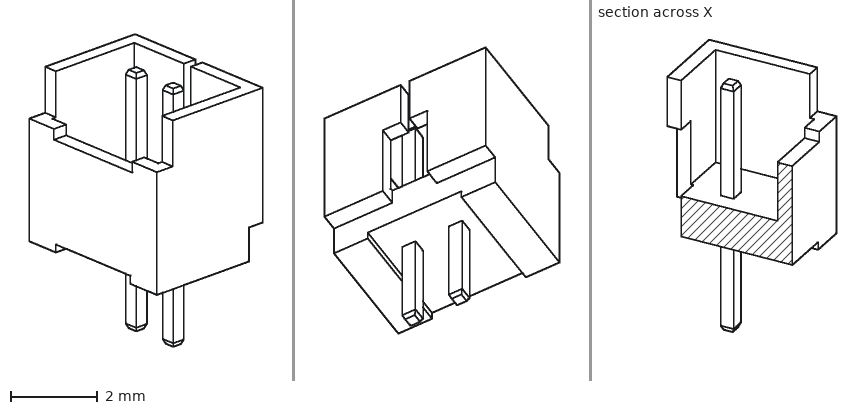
import cadquery as cq

WIDTH = 4.32
DEPTH = 3.33
HEIGHT = 4.22
SIDE_WALL = 0.365
FRONT_WALL = 0.385
BACK_WALL = 0.365
FLOOR_TOP = 1.27

SHOULDER_DROP = 1.15
SHOULDER_DEPTH = 0.50
FRONT_NOTCH_WIDTH = 2.64
FRONT_NOTCH_DROP = 1.42

SLOT_WIDTH = 0.235
SLOT_DROP = 1.29
WINDOW_WIDTH = 1.19

BACK_STEP_HEIGHT = 0.85
BACK_STEP_DEPTH = 0.43
CHANNEL_WIDTH = 2.51
CHANNEL_HEIGHT = 0.20

PIN_COUNT = 2
PIN_PITCH = 1.25
PIN_Y = 1.94
PIN_WIDTH = 0.36
PIN_THICKNESS = 0.34
PIN_RECESS = 0.02
PIN_TOP = HEIGHT - PIN_RECESS
OVERALL_HEIGHT = 6.48
PIN_BOTTOM = HEIGHT - OVERALL_HEIGHT
TIP_LENGTH = 0.12
TIP_INSET = 0.05


def block(width, y_range, z_range):
    """Box centred on X, spanning the given Y and Z ranges."""
    y_min, y_max = y_range
    z_min, z_max = z_range
    size_y = y_max - y_min
    size_z = z_max - z_min
    box = cq.Workplane("XY").box(width, size_y, size_z, centered=(True, False, False))
    return box.translate((0, y_min, z_min))


def make_shell():
    """Open-topped box with a solid floor."""
    outer = block(WIDTH, (0, DEPTH), (0, HEIGHT))
    cavity = block(
        WIDTH - 2 * SIDE_WALL,
        (FRONT_WALL, DEPTH - BACK_WALL),
        (FLOOR_TOP, HEIGHT),
    )
    return outer.cut(cavity)


def cut_front_top(body):
    """Lower the front wall to its shoulders, then notch it between them."""
    shoulder = block(WIDTH, (0, SHOULDER_DEPTH), (HEIGHT - SHOULDER_DROP, HEIGHT))
    notch = block(FRONT_NOTCH_WIDTH, (0, FRONT_WALL), (HEIGHT - FRONT_NOTCH_DROP, HEIGHT))
    return body.cut(shoulder).cut(notch)


def cut_back_opening(body):
    """Slot the back wall and open the window through the wall and floor edge."""
    window_top = HEIGHT - SLOT_DROP
    slot = block(SLOT_WIDTH, (DEPTH - BACK_WALL, DEPTH), (window_top, HEIGHT))
    window = block(WINDOW_WIDTH, (DEPTH - BACK_STEP_DEPTH, DEPTH), (BACK_STEP_HEIGHT, window_top))
    return body.cut(slot).cut(window)


def cut_underside(body):
    """Step the back edge upward and run a shallow channel front to back."""
    step = block(WIDTH, (DEPTH - BACK_STEP_DEPTH, DEPTH), (0, BACK_STEP_HEIGHT))
    channel = block(CHANNEL_WIDTH, (0, DEPTH), (0, CHANNEL_HEIGHT))
    return body.cut(step).cut(channel)


def make_pin_tip(shoulder_z, end_z):
    """Tapered pin end from the full section to the smaller end face."""
    return (
        cq.Workplane("XY", origin=(0, 0, shoulder_z))
        .rect(PIN_WIDTH, PIN_THICKNESS)
        .workplane(offset=end_z - shoulder_z)
        .rect(PIN_WIDTH - 2 * TIP_INSET, PIN_THICKNESS - 2 * TIP_INSET)
        .loft(ruled=True)
    )


def make_pin():
    """Straight rectangular pin, tapered at both ends."""
    shank_bottom = PIN_BOTTOM + TIP_LENGTH
    shank_top = PIN_TOP - TIP_LENGTH
    half_thickness = PIN_THICKNESS / 2
    shank = block(PIN_WIDTH, (-half_thickness, half_thickness), (shank_bottom, shank_top))
    upper_tip = make_pin_tip(shank_top, PIN_TOP)
    lower_tip = make_pin_tip(shank_bottom, PIN_BOTTOM)
    return shank.union(upper_tip).union(lower_tip)


def add_pins(body):
    """Row of pins along X, passing through the floor."""
    pin = make_pin()
    first_x = -PIN_PITCH * (PIN_COUNT - 1) / 2
    for index in range(PIN_COUNT):
        body = body.union(pin.translate((first_x + index * PIN_PITCH, PIN_Y, 0)))
    return body


housing = make_shell()
housing = cut_front_top(housing)
housing = cut_back_opening(housing)
housing = cut_underside(housing)
result = add_pins(housing)